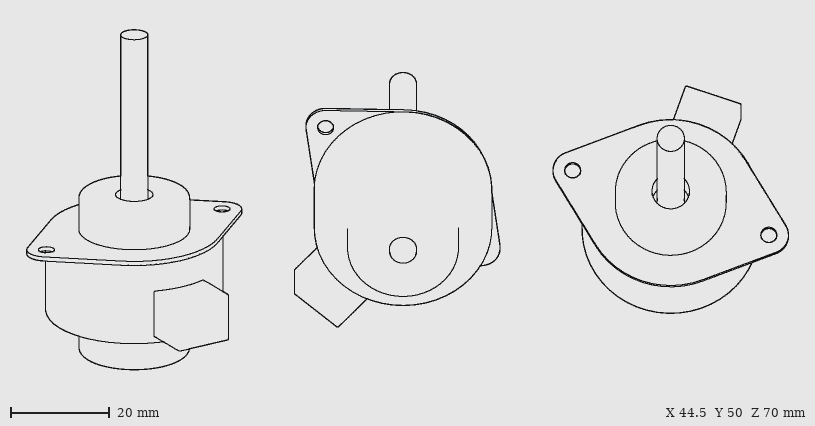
import cadquery as cq
import math

shaft_length = 70.0
rear_boss_bottom = 1.25
can_bottom = 9.65
flange_bottom = 26.75
flange_thickness = 0.9
flange_top = flange_bottom + flange_thickness
front_boss_top = 35.2

can_diameter = 36.0
can_radius = can_diameter / 2
boss_diameter = 22.5
can_edge_radius = 0.7
boss_edge_radius = 0.8
boss_root_radius = 0.4

flange_span = 50.0
flange_disc_radius = 17.65
ear_radius = 4.0
ear_offset = flange_span / 2 - ear_radius
mounting_hole_diameter = 3.2

overall_width = 44.5
connector_reach = overall_width - can_radius
connector_width = 12.0
connector_height = 10.0
connector_bottom = 11.1
connector_edge_radius = 0.35

shaft_diameter = 5.5
shaft_tip_radius = 0.6
recess_diameter = 7.55
recess_depth = front_boss_top - flange_top


def cylinder(diameter, bottom, top):
    """Cylinder on the motor axis between two heights."""
    return cq.Workplane("XY").workplane(offset=bottom).circle(diameter / 2).extrude(top - bottom)


def make_can():
    """Main can with rounded rims, and the rear boss blended into its lower face."""
    can = cylinder(can_diameter, can_bottom, flange_bottom).edges("%CIRCLE").fillet(can_edge_radius)
    rear_boss = cylinder(boss_diameter, rear_boss_bottom, can_bottom)
    rear_boss = rear_boss.faces("<Z").edges().fillet(boss_edge_radius)
    joined = can.union(rear_boss)
    lower_face = joined.faces("|Z").faces(">Z[-2]")
    return lower_face.edges(cq.selectors.RadiusNthSelector(0)).fillet(boss_root_radius)


def make_flange():
    """Flange plate whose ears join the disc along common tangent lines."""
    normal_y = (flange_disc_radius - ear_radius) / ear_offset
    normal_x = math.sqrt(1 - normal_y**2)
    disc_x = flange_disc_radius * normal_x
    disc_y = flange_disc_radius * normal_y
    ear_x = ear_radius * normal_x
    ear_y = ear_offset + ear_radius * normal_y

    outline = (
        cq.Workplane("XY")
        .workplane(offset=flange_bottom)
        .moveTo(disc_x, -disc_y)
        .threePointArc((flange_disc_radius, 0), (disc_x, disc_y))
        .lineTo(ear_x, ear_y)
        .threePointArc((0, flange_span / 2), (-ear_x, ear_y))
        .lineTo(-disc_x, disc_y)
        .threePointArc((-flange_disc_radius, 0), (-disc_x, -disc_y))
        .lineTo(-ear_x, -ear_y)
        .threePointArc((0, -flange_span / 2), (ear_x, -ear_y))
        .close()
    )
    mounting_holes = (
        cq.Workplane("XY")
        .workplane(offset=flange_bottom)
        .pushPoints([(0, ear_offset), (0, -ear_offset)])
        .circle(mounting_hole_diameter / 2)
        .extrude(flange_thickness)
    )
    return outline.extrude(flange_thickness).cut(mounting_holes)


def make_connector():
    """Block running from the motor axis out to +X, its exposed edges rounded."""
    block = cq.Workplane("XY").box(
        connector_reach, connector_width, connector_height, centered=(False, True, False)
    )
    block = block.edges("|X or >X").fillet(connector_edge_radius)
    return block.translate((0, 0, connector_bottom))


def make_housing():
    """Can, flange, front boss and connector as one solid, bored for the shaft."""
    front_boss = cylinder(boss_diameter, flange_bottom, front_boss_top)
    front_boss = front_boss.faces(">Z").edges().fillet(boss_edge_radius)
    shaft_bore = cylinder(shaft_diameter, rear_boss_bottom, front_boss_top)
    shaft_recess = cylinder(recess_diameter, front_boss_top - recess_depth, front_boss_top)
    solid = make_can().union(make_flange()).union(front_boss).union(make_connector())
    return solid.cut(shaft_bore).cut(shaft_recess)


def make_shaft():
    """Plain round shaft with a rounded rear tip."""
    return cylinder(shaft_diameter, 0, shaft_length).faces("<Z").edges().fillet(shaft_tip_radius)


housing = make_housing()
shaft = make_shaft()

result = cq.Compound.makeCompound([housing.val(), shaft.val()])